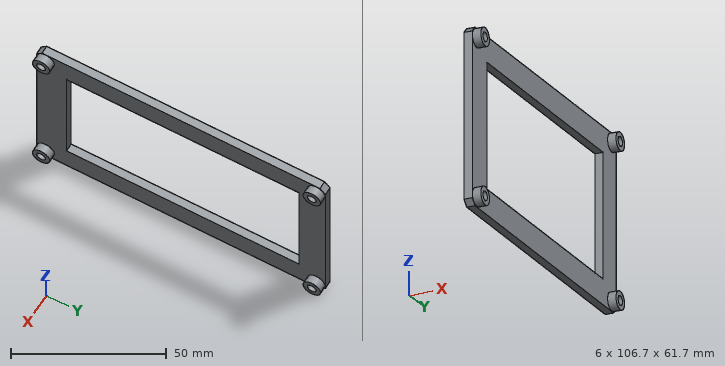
import cadquery as cq

plate_length = 106.7
plate_height = 61.7
plate_thickness = 3.0
corner_chamfer = 2.0

window_length = 85.8
window_height = 43.8
window_offset_y = 0.6

boss_diameter = 6.4
boss_height = 3.0
hole_diameter = 3.2
hole_spacing_y = 100.0
hole_spacing_z = 55.0

total_depth = plate_thickness + boss_height


def at_corners(x):
    """Workplane facing +X with one point at each screw position."""
    return cq.Workplane("YZ", origin=(x, 0, 0)).rarray(hole_spacing_y, hole_spacing_z, 2, 2)


plate = (
    cq.Workplane("YZ")
    .rect(plate_length, plate_height)
    .extrude(plate_thickness)
    .edges("|X")
    .chamfer(corner_chamfer)
)

window = (
    cq.Workplane("YZ")
    .center(window_offset_y, 0)
    .rect(window_length, window_height)
    .extrude(plate_thickness)
)

bosses = at_corners(plate_thickness).circle(boss_diameter / 2).extrude(boss_height)
holes = at_corners(0).circle(hole_diameter / 2).extrude(total_depth)

result = plate.cut(window).union(bosses).cut(holes)